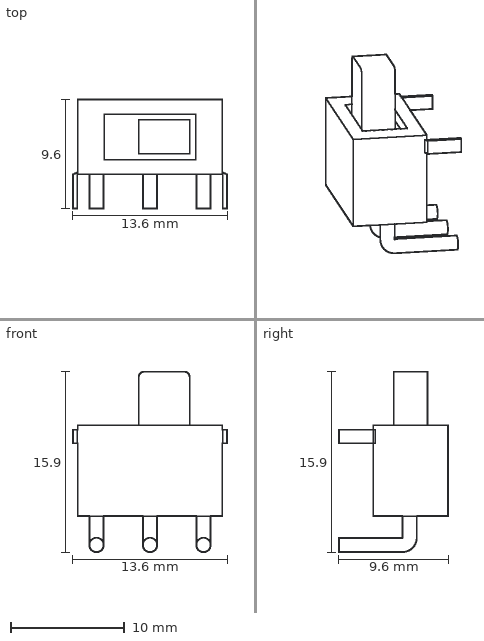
import cadquery as cq


body_length = 12.7
body_width = 6.6
body_height = 8.0
front_y = -body_width / 2

window_length = 8.0
window_width = 4.0
window_depth = 1.0

slider_length = 4.5
slider_width = 3.0
slider_rise = 4.7
slider_end_gap = 0.5
slider_edge_radius = 0.5

front_reach = 3.0
front_end_y = front_y - front_reach

pin_diameter = 1.27
pin_radius = pin_diameter / 2
inner_bend_radius = 0.01
bend_radius = pin_radius + inner_bend_radius
pin_pitch = 4.7
pin_y = -0.08
pin_axis_drop = 2.54
pin_count = 3

overall_length = 13.57
tab_thickness = 0.4
tab_height = 1.2
tab_top_gap = 0.4
tab_root_length = 0.19


def make_housing():
    housing = cq.Workplane("XY").box(body_length, body_width, body_height, centered=(True, True, False))
    window = (
        cq.Workplane("XY", origin=(0, 0, body_height - window_depth))
        .box(window_length, window_width, window_depth, centered=(True, True, False))
    )
    return housing.cut(window)


def make_slider():
    """Slider standing on the window floor, near the window's +X end, with rounded top edges."""
    center_x = window_length / 2 - slider_end_gap - slider_length / 2
    return (
        cq.Workplane("XY", origin=(center_x, 0, body_height - window_depth))
        .box(slider_length, slider_width, window_depth + slider_rise, centered=(True, True, False))
        .edges("|Y and >Z")
        .fillet(slider_edge_radius)
    )


def make_pin(x):
    """Round pin that drops from the housing and turns forward in a tight quarter-circle elbow."""
    elbow_start_z = bend_radius - pin_axis_drop
    elbow_end_y = pin_y - bend_radius
    center_line = (
        cq.Workplane("YZ", origin=(x, 0, 0))
        .moveTo(pin_y, 0)
        .lineTo(pin_y, elbow_start_z)
        .tangentArcPoint((elbow_end_y, -pin_axis_drop), relative=False)
        .lineTo(front_end_y, -pin_axis_drop)
    )
    return cq.Workplane("XY", origin=(x, pin_y, 0)).circle(pin_radius).sweep(center_line)


def make_tab(side):
    """Flat tab with a slanted root on the housing end; side is +1 or -1 along X."""
    body_x = side * body_length / 2
    outer_x = side * overall_length / 2
    inner_x = outer_x - side * tab_thickness
    outline = [
        (body_x, front_y + tab_root_length),
        (outer_x, front_y),
        (outer_x, front_end_y),
        (inner_x, front_end_y),
        (inner_x, front_y),
        (body_x, front_y),
    ]
    tab_bottom_z = body_height - tab_top_gap - tab_height
    return cq.Workplane("XY", origin=(0, 0, tab_bottom_z)).polyline(outline).close().extrude(tab_height)


result = make_housing().union(make_slider())
for index in range(pin_count):
    pin_x = (index - (pin_count - 1) / 2) * pin_pitch
    result = result.union(make_pin(pin_x))
for tab_side in (-1, 1):
    result = result.union(make_tab(tab_side))